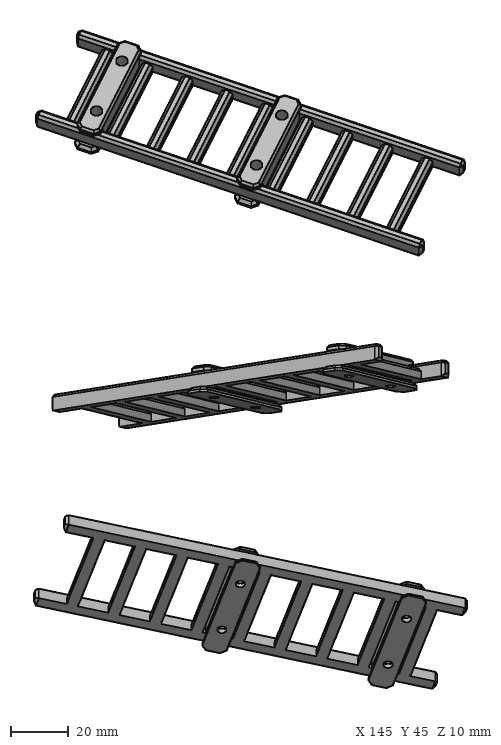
import cadquery as cq

ladder_length = 145.0
ladder_width = 40.6
rail_width = 3.8
rail_height = 5.8
rail_chamfer = 1.0
rung_count = 9
first_rung_inset = 12.0
rung_row_length = 119.9
rung_width = 4.0
rung_height = 3.9
rung_chamfer = 1.2

total_height = 10.0
clamp_width = 8.8
clamp_corner = 1.9
top_plate_length = ladder_width
top_plate_chamfer = 0.9
bottom_plate_length = 45.0
bottom_plate_chamfer = 1.2
hole_spacing = 22.9
top_hole_diameter = 4.0
bottom_hole_diameter = 3.2
clamped_gaps = (0, 4)

plate_thickness = (total_height - rail_height) / 2
rail_bottom = plate_thickness
rail_top = rail_bottom + rail_height
rail_offset = (ladder_width - rail_width) / 2
inner_width = ladder_width - 2 * rail_width
first_rung_x = first_rung_inset - ladder_length / 2
rung_pitch = rung_row_length / (rung_count - 1)
clamp_places = [first_rung_x + (gap + 0.5) * rung_pitch for gap in clamped_gaps]


def block(length_x, length_y, height, bottom):
    """Box centred in X and Y that stands on the given level."""
    return cq.Workplane("XY").workplane(offset=bottom).rect(length_x, length_y).extrude(height)


def make_rail(y):
    """Flat-bottomed rail, chamfered along the top and around both ends."""
    rail = block(ladder_length, rail_width, rail_height, rail_bottom)
    rail = rail.faces(">Z or <X or >X").edges().chamfer(rail_chamfer)
    return rail.translate((0, y, 0))


def make_rung(x):
    """Flat-bottomed rung with a chamfered top, reaching the middle of each rail."""
    rung = block(rung_width, 2 * rail_offset, rung_height, rail_bottom)
    rung = rung.faces(">Z").edges("|Y").chamfer(rung_chamfer)
    return rung.translate((x, 0, 0))


def make_ladder():
    """Two rails joined by a row of evenly spaced rungs."""
    ladder = make_rail(rail_offset).union(make_rail(-rail_offset))
    for index in range(rung_count):
        ladder = ladder.union(make_rung(first_rung_x + index * rung_pitch))
    return ladder


def make_plate(length, bottom, chamfer):
    """Long plate with cut corners and a chamfer around its upper face."""
    plate = block(clamp_width, length, plate_thickness, bottom)
    plate = plate.edges("|Z").chamfer(clamp_corner)
    return plate.faces(">Z").edges().chamfer(chamfer)


def drill_clamp(body, diameter):
    """Cut the pair of screw holes through a clamp half."""
    holes = (
        cq.Workplane("XY")
        .pushPoints([(0, -hole_spacing / 2), (0, hole_spacing / 2)])
        .circle(diameter / 2)
        .extrude(total_height)
    )
    return body.cut(holes)


def make_top_clamp(x):
    """Plate lying across the rails, with a block below that fills the space between them."""
    plate = make_plate(top_plate_length, rail_top, top_plate_chamfer)
    filler = block(clamp_width, inner_width, rail_height, rail_bottom)
    return drill_clamp(plate.union(filler), top_hole_diameter).translate((x, 0, 0))


def make_bottom_clamp(x):
    """Plate under the rails that takes the screws from the top clamp."""
    plate = make_plate(bottom_plate_length, 0, bottom_plate_chamfer)
    return drill_clamp(plate, bottom_hole_diameter).translate((x, 0, 0))


ladder = make_ladder()
top_clamps = [make_top_clamp(x) for x in clamp_places]
bottom_clamps = [make_bottom_clamp(x) for x in clamp_places]

result = cq.Compound.makeCompound(
    [ladder.val()]
    + [clamp.val() for clamp in top_clamps]
    + [clamp.val() for clamp in bottom_clamps]
)